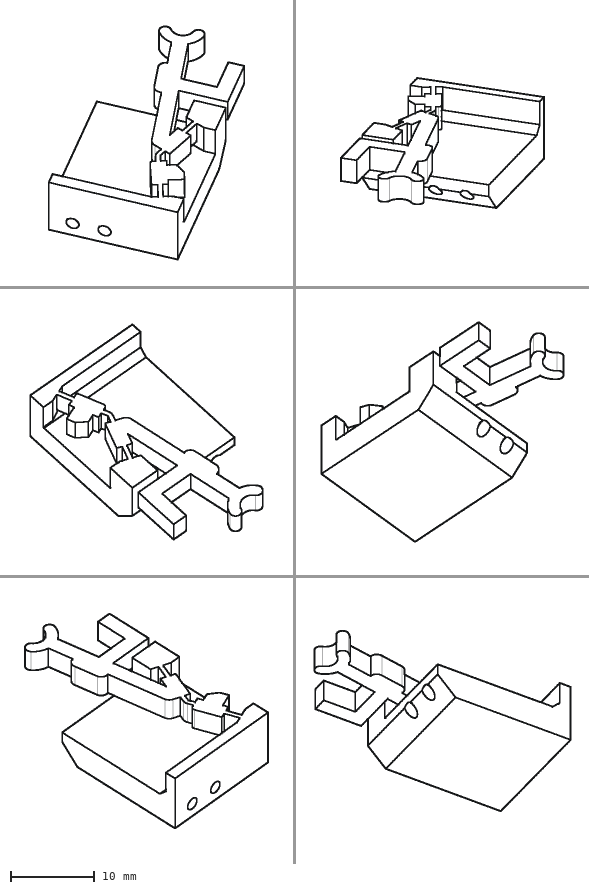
import cadquery as cq
import math

WIDTH = 16.17
BASE_LENGTH = 18.48
BASE_HEIGHT = 4.0
TOTAL_HEIGHT = 8.0
REAR_CHAMFER = 2.5
WALL_THICKNESS = 1.5
HOLE_DIAMETER = 1.6
HOLE_CENTRES = [(3.0, 2.0), (7.0, 2.0)]

LAYER_HEIGHT = 3.0
LAYER_BOTTOM = TOTAL_HEIGHT - LAYER_HEIGHT
GAP = LAYER_BOTTOM - BASE_HEIGHT

KNEE_X = 10.93
KNEE_Y = 8.45
LINK_ANGLE = 21.0
KNEE_NECK_LENGTH = 1.02
LINK_LENGTH = 3.98
END_NECK_LENGTH = 2.0
LINK_WIDTH = 2.0
NECK_WIDTH = 0.6
KNEE_RADIUS = 1.02
LINK_CORNER_RADIUS = 0.4
PAD_LEFT = 12.2
PAD_REACH = 6.05

NUB_OFFSET = 0.75
NUB_LENGTH = 2.52
NUB_DEPTH = 1.98
NUB_CUT_LENGTH = 1.32
NUB_CUT_DEPTH = 0.85

LEVER_ANGLE = 10.0
LEVER_WIDTH = 2.0
LEVER_NOTCH = (11.23, 12.13)
LEVER_END_RADIUS = 1.0
BUMP_START = 6.9
BUMP_LENGTH = 5.0
BUMP_DEPTH = 1.0
BUMP_RADIUS = 0.9
FORK_CENTRE = 18.18
FORK_INNER_RADIUS = 1.5
FORK_ARM_WIDTH = 1.5
FORK_HALF_ANGLE = 63.0

HOOK_RIGHT = 16.08
HOOK_FRONT = 19.47
HOOK_REAR = 25.85
HOOK_WIDTH = 2.0

LINK_SIN = math.sin(math.radians(LINK_ANGLE))
LINK_COS = math.cos(math.radians(LINK_ANGLE))
LINK_TAN = LINK_SIN / LINK_COS
LEVER_SIN = math.sin(math.radians(LEVER_ANGLE))
LEVER_COS = math.cos(math.radians(LEVER_ANGLE))
LINK_END = KNEE_NECK_LENGTH + LINK_LENGTH
NECK_END = LINK_END + END_NECK_LENGTH


def plate(points, bottom=LAYER_BOTTOM):
    """Upright prism from a plan outline to the top of the part."""
    return cq.Workplane("XY").workplane(offset=bottom).polyline(points).close().extrude(TOTAL_HEIGHT - bottom)


def round_corner(solid, point, radius):
    """Round the upright edge that passes through a plan point."""
    nearest = cq.selectors.NearestToPointSelector((*point, LAYER_BOTTOM + LAYER_HEIGHT / 2))
    return solid.edges("|Z").edges(nearest).fillet(radius)


def link_point(along, across, side):
    """Plan point at a distance from the knee; side is +1 for the rear link, -1 for the front."""
    x = KNEE_X + along * LINK_SIN + across * LINK_COS
    y = KNEE_Y + side * (along * LINK_COS - across * LINK_SIN)
    return (x, y)


def link_plate(start, end, left, right, side):
    corners = [(start, left), (start, right), (end, right), (end, left)]
    return plate([link_point(along, across, side) for along, across in corners])


def lever_point(along, across):
    """Plan point measured up the lever from its notch and across from its centre line."""
    across_from_notch = across - LEVER_WIDTH / 2
    x = LEVER_NOTCH[0] - along * LEVER_SIN + across_from_notch * LEVER_COS
    y = LEVER_NOTCH[1] + along * LEVER_COS + across_from_notch * LEVER_SIN
    return (x, y)


def make_base():
    wall_foot = WALL_THICKNESS + GAP
    profile = [
        (0, 0),
        (BASE_LENGTH - REAR_CHAMFER, 0),
        (BASE_LENGTH, REAR_CHAMFER),
        (BASE_LENGTH, BASE_HEIGHT),
        (wall_foot, BASE_HEIGHT),
        (WALL_THICKNESS, LAYER_BOTTOM),
        (WALL_THICKNESS, TOTAL_HEIGHT),
        (0, TOTAL_HEIGHT),
    ]
    base = cq.Workplane("YZ").polyline(profile).close().extrude(WIDTH)
    holes = cq.Workplane("XZ").pushPoints(HOLE_CENTRES).circle(HOLE_DIAMETER / 2).extrude(-BASE_LENGTH)
    return base.cut(holes)


def make_pad(side, outer_y):
    """Anchor pad standing on the base, whose slanted face is square to the end neck."""
    end_x, end_y = link_point(NECK_END, 0, side)
    end_reach = abs(end_y - KNEE_Y)
    left_reach = end_reach + (end_x - PAD_LEFT) * LINK_TAN
    slant_end_x = end_x + (end_reach - PAD_REACH) / LINK_TAN
    return plate(
        [
            (PAD_LEFT, outer_y),
            (PAD_LEFT, KNEE_Y + side * left_reach),
            (slant_end_x, KNEE_Y + side * PAD_REACH),
            (WIDTH, KNEE_Y + side * PAD_REACH),
            (WIDTH, outer_y),
        ],
        BASE_HEIGHT,
    )


def make_knee():
    """Bent neck joining the links, with its outer bend rounded."""
    half = NECK_WIDTH / 2
    bend = half / LINK_COS
    outer_bend = (KNEE_X - bend, KNEE_Y)
    knee = plate(
        [
            link_point(KNEE_NECK_LENGTH, -half, 1),
            outer_bend,
            link_point(KNEE_NECK_LENGTH, -half, -1),
            link_point(KNEE_NECK_LENGTH, half, -1),
            (KNEE_X + bend, KNEE_Y),
            link_point(KNEE_NECK_LENGTH, half, 1),
        ]
    )
    return round_corner(knee, outer_bend, KNEE_RADIUS)


def make_link(side):
    return link_plate(KNEE_NECK_LENGTH, LINK_END, -LINK_WIDTH / 2, LINK_WIDTH / 2, side)


def make_end_neck(side):
    return link_plate(LINK_END, NECK_END, -NECK_WIDTH / 2, NECK_WIDTH / 2, side)


def make_front_link():
    link = round_corner(make_link(-1), link_point(KNEE_NECK_LENGTH, -LINK_WIDTH / 2, -1), LINK_CORNER_RADIUS)
    start = KNEE_NECK_LENGTH + NUB_OFFSET
    end = start + NUB_LENGTH
    inner = LINK_WIDTH / 2
    outer = inner + NUB_DEPTH
    outline = [
        (start, 0),
        (start, outer - NUB_CUT_DEPTH),
        (start + NUB_CUT_LENGTH, outer),
        (end, outer),
        (end, 0),
    ]
    return link.union(plate([link_point(along, across, -1) for along, across in outline]))


def make_lever():
    """Straight lever whose lower end lies in line with the knee end of the rear link."""
    half = LEVER_WIDTH / 2
    link_corner = link_point(KNEE_NECK_LENGTH, 0, 1)
    side_x, side_y = lever_point(0, -half)
    height_over_line = (side_y - link_corner[1]) + (side_x - link_corner[0]) * LINK_TAN
    drop = height_over_line / (LEVER_COS - LEVER_SIN * LINK_TAN)
    lower_corner = lever_point(-drop, -half)
    tip = FORK_CENTRE - FORK_INNER_RADIUS - FORK_ARM_WIDTH / 2
    lever = plate([lower_corner, link_corner, LEVER_NOTCH, lever_point(tip, half), lever_point(tip, -half)])
    return round_corner(lever, lower_corner, LEVER_END_RADIUS)


def make_bump():
    outer = -LEVER_WIDTH / 2 - BUMP_DEPTH
    start = lever_point(BUMP_START, outer)
    end = lever_point(BUMP_START + BUMP_LENGTH, outer)
    bump = plate([start, lever_point(BUMP_START, 0), lever_point(BUMP_START + BUMP_LENGTH, 0), end])
    for corner in (start, end):
        bump = round_corner(bump, corner, BUMP_RADIUS)
    return bump


def fork_point(radius, angle):
    """Point around the fork centre; angle zero faces down the lever."""
    turn = math.radians(angle)
    return lever_point(FORK_CENTRE - radius * math.cos(turn), radius * math.sin(turn))


def make_fork():
    """Crescent arm of constant width with round tips."""
    outer = FORK_INNER_RADIUS + FORK_ARM_WIDTH
    tip_radius = FORK_ARM_WIDTH / 2
    middle = FORK_INNER_RADIUS + tip_radius
    angle = FORK_HALF_ANGLE
    fork = (
        cq.Workplane("XY")
        .workplane(offset=LAYER_BOTTOM)
        .moveTo(*fork_point(FORK_INNER_RADIUS, -angle))
        .threePointArc(fork_point(FORK_INNER_RADIUS, 0), fork_point(FORK_INNER_RADIUS, angle))
        .lineTo(*fork_point(outer, angle))
        .threePointArc(fork_point(outer, 0), fork_point(outer, -angle))
        .close()
        .extrude(LAYER_HEIGHT)
    )
    tip_centres = [fork_point(middle, -angle), fork_point(middle, angle)]
    tips = cq.Workplane("XY").workplane(offset=LAYER_BOTTOM).pushPoints(tip_centres)
    return fork.union(tips.circle(tip_radius).extrude(LAYER_HEIGHT))


def make_hook():
    inner_x = HOOK_RIGHT - HOOK_WIDTH
    inner_y = HOOK_FRONT + HOOK_WIDTH
    root_x = lever_point((HOOK_FRONT - LEVER_NOTCH[1]) / LEVER_COS, 0)[0]
    return plate(
        [
            (root_x, HOOK_FRONT),
            (HOOK_RIGHT, HOOK_FRONT),
            (HOOK_RIGHT, HOOK_REAR),
            (inner_x, HOOK_REAR),
            (inner_x, inner_y),
            (root_x, inner_y),
        ]
    )


result = make_base()
features = [
    make_pad(-1, 0),
    make_pad(1, BASE_LENGTH),
    make_end_neck(-1),
    make_end_neck(1),
    make_front_link(),
    make_link(1),
    make_knee(),
    make_lever(),
    make_bump(),
    make_fork(),
    make_hook(),
]
for feature in features:
    result = result.union(feature)